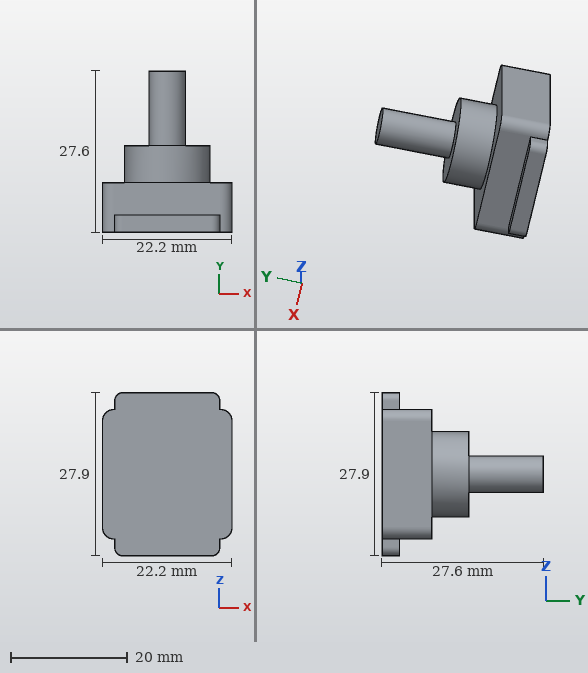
import cadquery as cq

total_depth = 27.55
body_side = 22.2
body_depth = 8.5
body_corner_radius = 2.0
flange_width = 18.0
flange_height = 27.95
flange_thickness = 3.0
flange_corner_radius = 1.4
collar_diameter = 14.7
collar_length = 6.31
shaft_diameter = 6.31
shaft_length = total_depth - body_depth - collar_length


def rounded_plate(width, height, thickness, corner_radius):
    """Plate with its front face on Y = 0, extending toward +Y."""
    plate = cq.Workplane("XZ").rect(width, height).extrude(-thickness)
    return plate.edges("|Y").fillet(corner_radius)


def cylinder_along_y(diameter, start, length):
    """Cylinder on the Y axis, from Y = start toward +Y."""
    base = cq.Workplane("XZ", origin=(0, start, 0))
    return base.circle(diameter / 2).extrude(-length)


body = rounded_plate(body_side, body_side, body_depth, body_corner_radius)
flange = rounded_plate(flange_width, flange_height, flange_thickness, flange_corner_radius)

collar = cylinder_along_y(collar_diameter, body_depth, collar_length)
shaft = cylinder_along_y(shaft_diameter, body_depth + collar_length, shaft_length)

result = body.union(flange).union(collar).union(shaft)